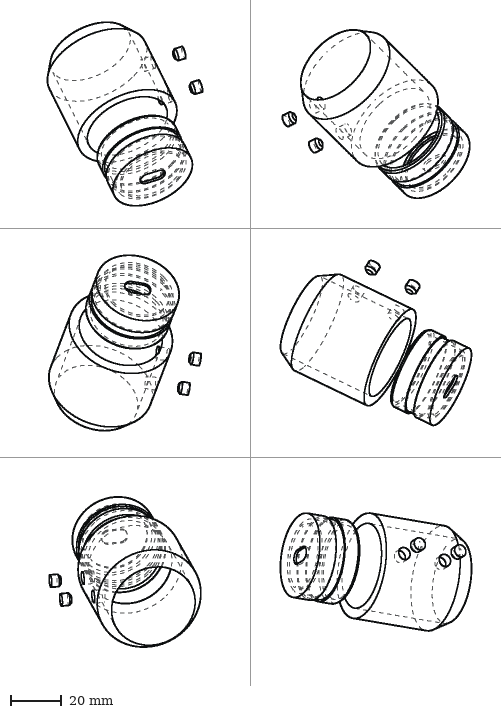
import cadquery as cq

total_length = 67.35
total_width = 55.0

sleeve_length = 40.0
sleeve_radius = 21.0
bore_radius = 16.9
taper_length = 7.3

cap_length = 18.0
cap_radius = 16.85
cap_chamfer = 0.95
cap_chamfer_depth = 0.6
groove_start = 6.8
groove_width = 3.9
groove_radius = 16.0
cap_bore_radius = 14.8
cap_bore_depth = 15.95
recess_radius = 13.0
recess_depth = 1.0
slot_length = 10.5
slot_height = 5.7

screw_radius = 2.5
screw_length = 4.05
screw_chamfer = 1.0
first_screw_x = 14.0
screw_spacing = 18.0
screw_positions = [first_screw_x, first_screw_x + screw_spacing]

cap_start = total_length - cap_length
screw_outer_y = total_width - sleeve_radius


def x_cylinder(start, length, radius):
    """Solid cylinder along +X, centred on the main axis."""
    return cq.Workplane("YZ", origin=(start, 0, 0)).circle(radius).extrude(length)


def y_cylinder(x, outer_y, length, radius):
    """Solid cylinder along Y, reaching inward from outer_y."""
    return cq.Workplane("XZ", origin=(x, outer_y, 0)).circle(radius).extrude(length)


def make_sleeve():
    """Tube tapering to a sharp rim, with two radial screw holes through its +Y wall."""
    sleeve = (
        cq.Workplane("XY")
        .moveTo(0, bore_radius)
        .lineTo(taper_length, sleeve_radius)
        .lineTo(sleeve_length, sleeve_radius)
        .lineTo(sleeve_length, bore_radius)
        .close()
        .revolve(360, (0, 0, 0), (1, 0, 0))
    )
    for x in screw_positions:
        sleeve = sleeve.cut(y_cylinder(x, sleeve_radius, sleeve_radius, screw_radius))
    return sleeve


def make_cap():
    """Grooved cup, open toward the sleeve, with a stepped floor and a slot through it."""
    groove_end = groove_start + groove_width
    cap = (
        cq.Workplane("XY", origin=(cap_start, 0, 0))
        .lineTo(0, cap_radius - cap_chamfer_depth)
        .lineTo(cap_chamfer, cap_radius)
        .lineTo(groove_start, cap_radius)
        .lineTo(groove_start, groove_radius)
        .lineTo(groove_end, groove_radius)
        .lineTo(groove_end, cap_radius)
        .lineTo(cap_length, cap_radius)
        .lineTo(cap_length, 0)
        .close()
        .revolve(360, (0, 0, 0), (1, 0, 0))
    )
    cap = cap.cut(x_cylinder(cap_start, cap_bore_depth, cap_bore_radius))
    cap = cap.cut(x_cylinder(cap_start, cap_bore_depth + recess_depth, recess_radius))
    slot = (
        cq.Workplane("YZ", origin=(cap_start, 0, 0))
        .slot2D(slot_length, slot_height)
        .extrude(cap_length)
    )
    return cap.cut(slot)


def make_screw(x):
    """Set screw with a chamfered tip pointing at the sleeve."""
    return y_cylinder(x, screw_outer_y, screw_length, screw_radius).faces("<Y").chamfer(screw_chamfer)


sleeve = make_sleeve()
cap = make_cap()
screws = [make_screw(x) for x in screw_positions]

result = cq.Compound.makeCompound([sleeve.val(), cap.val(), *[screw.val() for screw in screws]])